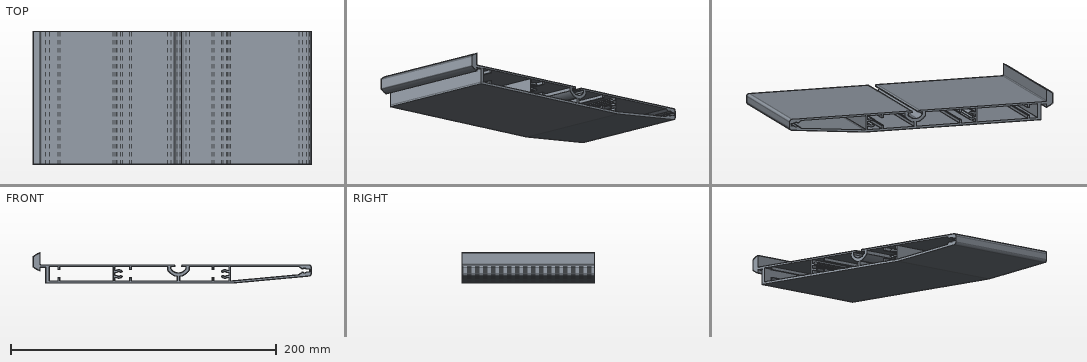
import cadquery as cq
import math

LENGTH = 100.0
WIDTH = 209.3
OVERALL_HEIGHT = 22.9
PICK_REACH = 0.05

DECK_TOP = 13.8
DECK_THICKNESS = 1.4
FLOOR_THICKNESS = 1.8
END_WALL_LEFT = 9.4
END_WALL_THICKNESS = 2.7
CEILING = DECK_TOP - DECK_THICKNESS
END_WALL_INNER = END_WALL_LEFT + END_WALL_THICKNESS
FOOT_FLARE = 0.03
FOOT_HEIGHT = 1.3

TAPER_START = 150.0
TAPER_SLOPE = 1 / 10.9
NOSE_TOP_RADIUS = 2.0
NOSE_BOTTOM_RADIUS = 2.0
NOSE_BOTTOM = (WIDTH - TAPER_START) * TAPER_SLOPE

LIP_THICKNESS = 5.15
LIP_HEIGHT = 13.65
LIP_RISE = 2.95
LIP_TURN = math.radians(20)
LIP_EDGE_RADIUS = 0.5
LIP_ROOT_RADIUS = 0.6
ARM_UNDERSIDE = 11.8
LIP_BOTTOM = OVERALL_HEIGHT - LIP_HEIGHT

SYMMETRY_X = 104.35
WEB_OFFSET = 43.5
WEB_THICKNESS = 1.3
NIB_WIDTH = 1.4
NIB_HEIGHT = 2.3
END_NIB_X = 19.35
NIB_OFFSET = 31.0
NIB_CENTRES = (END_NIB_X, SYMMETRY_X - NIB_OFFSET, SYMMETRY_X + NIB_OFFSET)
PORT_BORE_RADIUS = 1.75
PORT_OUTER_RADIUS = 3.25
PORT_NECK_HALF_GAP = 1.05
PORT_NECK_HALF_HEIGHT = 2.7
PORT_MOUTH_ANGLE = math.radians(35)
PORT_OFFSET = 39.9
PORT_Z = 6.92

NOSE_PORT_X = 204.2
NOSE_PORT_Z = 9.5
NOSE_PORT_HALF_GAP = 1.0
NOSE_PORT_END = 208.0
THROAT_LENGTH = 2.8

GROOVE_X = 109.3
SLOT_WIDTH = 4.9
SLOT_LIP_RADIUS = 1.1
STEM_WIDTH = 2.0
GROOVE_HALF_WIDTH = 5.6
GROOVE_BOTTOM = 7.8
GROOVE_SIDE_BOTTOM = 10.9
GROOVE_RADIUS = 6.0
GROOVE_WALL = 2.6
TROUGH_HALF_WIDTH = GROOVE_HALF_WIDTH + GROOVE_WALL
TROUGH_BOTTOM = GROOVE_BOTTOM - GROOVE_WALL
TROUGH_FLAT_HALF_WIDTH = 2.4
TROUGH_SIDE_BOTTOM = 9.8
TROUGH_RADIUS = 14.0


def section():
    return cq.Workplane("XZ")


def extrude(profile):
    """Extrude a closed section over the full length, toward +Y."""
    return profile.extrude(-LENGTH)


def bar(left, right, bottom, top):
    """Rectangular bar over the full length."""
    corners = [(left, bottom), (right, bottom), (right, top), (left, top)]
    return extrude(section().polyline(corners).close())


def edges_at(x, z):
    """Selector for the long edge through the section point (x, z)."""
    near = (x - PICK_REACH, 0, z - PICK_REACH)
    far = (x + PICK_REACH, LENGTH, z + PICK_REACH)
    return cq.selectors.BoxSelector(near, far)


def taper_height(x):
    """Height of the sloping underside at x."""
    return (x - TAPER_START) * TAPER_SLOPE


def body():
    """Solid outline of the body, with a slightly flared foot on its end wall."""
    solid = extrude(
        section()
        .moveTo(END_WALL_LEFT - FOOT_FLARE, 0)
        .lineTo(TAPER_START, 0)
        .lineTo(WIDTH, NOSE_BOTTOM)
        .lineTo(WIDTH, DECK_TOP)
        .lineTo(LIP_THICKNESS / 2, DECK_TOP)
        .lineTo(LIP_THICKNESS / 2, ARM_UNDERSIDE)
        .lineTo(END_WALL_LEFT, ARM_UNDERSIDE)
        .lineTo(END_WALL_LEFT, FOOT_HEIGHT)
        .close()
    )
    solid = solid.edges(edges_at(WIDTH, DECK_TOP)).fillet(NOSE_TOP_RADIUS)
    return solid.edges(edges_at(WIDTH, NOSE_BOTTOM)).fillet(NOSE_BOTTOM_RADIUS)


def lip():
    """Upright lip whose two ends are shallow arcs rising to points on its inner face."""
    top_corner = OVERALL_HEIGHT - LIP_RISE
    bottom_corner = LIP_BOTTOM + LIP_RISE
    chord = math.hypot(LIP_THICKNESS, LIP_RISE)
    bulge = chord / 2 * math.tan(LIP_TURN / 4)
    middle_x = LIP_THICKNESS / 2 - bulge * LIP_RISE / chord
    middle_rise = LIP_RISE / 2 + bulge * LIP_THICKNESS / chord
    solid = extrude(
        section()
        .moveTo(0, bottom_corner)
        .lineTo(0, top_corner)
        .threePointArc((middle_x, top_corner + middle_rise), (LIP_THICKNESS, OVERALL_HEIGHT))
        .lineTo(LIP_THICKNESS, LIP_BOTTOM)
        .threePointArc((middle_x, bottom_corner - middle_rise), (0, bottom_corner))
        .close()
    )
    for corner in (top_corner, bottom_corner):
        solid = solid.edges(edges_at(0, corner)).fillet(LIP_EDGE_RADIUS)
    return solid


def cavity():
    """Hollow of the body, narrowing at its right end into the nose port's throat."""
    throat_x = NOSE_PORT_X - math.sqrt(PORT_BORE_RADIUS**2 - NOSE_PORT_HALF_GAP**2)
    mouth_x = throat_x - THROAT_LENGTH
    return extrude(
        section()
        .moveTo(END_WALL_INNER, FLOOR_THICKNESS)
        .lineTo(TAPER_START, FLOOR_THICKNESS)
        .lineTo(mouth_x, FLOOR_THICKNESS + taper_height(mouth_x))
        .lineTo(throat_x, NOSE_PORT_Z - NOSE_PORT_HALF_GAP)
        .lineTo(throat_x, NOSE_PORT_Z + NOSE_PORT_HALF_GAP)
        .lineTo(mouth_x, CEILING)
        .lineTo(END_WALL_INNER, CEILING)
        .close()
    )


def nose_port():
    """Void of the nose screw port: a round bore running on into a blind slot."""
    bore = extrude(section().center(NOSE_PORT_X, NOSE_PORT_Z).circle(PORT_BORE_RADIUS))
    slot_bottom = NOSE_PORT_Z - NOSE_PORT_HALF_GAP
    slot_top = NOSE_PORT_Z + NOSE_PORT_HALF_GAP
    return bore.union(bar(NOSE_PORT_X, NOSE_PORT_END, slot_bottom, slot_top))


def nibs(centre):
    """Facing pair of nibs, one on the floor and one under the deck."""
    left = centre - NIB_WIDTH / 2
    right = centre + NIB_WIDTH / 2
    lower = bar(left, right, FLOOR_THICKNESS / 2, FLOOR_THICKNESS + NIB_HEIGHT)
    upper = bar(left, right, CEILING - NIB_HEIGHT, CEILING + DECK_THICKNESS / 2)
    return lower.union(upper)


def web(side):
    """Upright wall joining floor and deck."""
    centre = SYMMETRY_X + side * WEB_OFFSET
    half = WEB_THICKNESS / 2
    return bar(centre - half, centre + half, FLOOR_THICKNESS / 2, CEILING + DECK_THICKNESS / 2)


def port_arm(side, up):
    """One of the two curved arms of a screw port; the port opens toward the symmetry line."""
    port_x = SYMMETRY_X + side * PORT_OFFSET
    web_x = SYMMETRY_X + side * WEB_OFFSET
    inner_run = math.sqrt(PORT_BORE_RADIUS**2 - PORT_NECK_HALF_GAP**2)
    outer_run = math.sqrt(PORT_OUTER_RADIUS**2 - PORT_NECK_HALF_HEIGHT**2)

    def at(toward_web, rise):
        return port_x + side * toward_web, PORT_Z + up * rise

    def mouth(radius):
        return at(-radius * math.cos(PORT_MOUTH_ANGLE), radius * math.sin(PORT_MOUTH_ANGLE))

    return extrude(
        section()
        .moveTo(web_x, PORT_Z + up * PORT_NECK_HALF_GAP)
        .lineTo(*at(inner_run, PORT_NECK_HALF_GAP))
        .threePointArc(at(0, PORT_BORE_RADIUS), mouth(PORT_BORE_RADIUS))
        .lineTo(*mouth(PORT_OUTER_RADIUS))
        .threePointArc(at(0, PORT_OUTER_RADIUS), at(outer_run, PORT_NECK_HALF_HEIGHT))
        .lineTo(web_x, PORT_Z + up * PORT_NECK_HALF_HEIGHT)
        .close()
    )


def trough(half_width, top, side_bottom, radius, flat_half_width, bottom):
    """Upright-sided trough whose sides curve in to a flat bottom."""
    return extrude(
        section()
        .moveTo(GROOVE_X - half_width, top)
        .lineTo(GROOVE_X - half_width, side_bottom)
        .radiusArc((GROOVE_X - flat_half_width, bottom), -radius)
        .lineTo(GROOVE_X + flat_half_width, bottom)
        .radiusArc((GROOVE_X + half_width, side_bottom), -radius)
        .lineTo(GROOVE_X + half_width, top)
        .close()
    )


def groove_wall():
    """Solid trough on its stem; the groove itself is cut afterwards."""
    outside = trough(
        TROUGH_HALF_WIDTH,
        CEILING + DECK_THICKNESS / 2,
        TROUGH_SIDE_BOTTOM,
        TROUGH_RADIUS,
        TROUGH_FLAT_HALF_WIDTH,
        TROUGH_BOTTOM,
    )
    half_stem = STEM_WIDTH / 2
    stem_top = (GROOVE_BOTTOM + TROUGH_BOTTOM) / 2
    return outside.union(bar(GROOVE_X - half_stem, GROOVE_X + half_stem, FLOOR_THICKNESS / 2, stem_top))


def groove():
    return trough(
        GROOVE_HALF_WIDTH, CEILING, GROOVE_SIDE_BOTTOM, GROOVE_RADIUS, STEM_WIDTH / 2, GROOVE_BOTTOM
    )


def open_slot(part):
    """Cut the slot through the deck into the groove and round its upper edges."""
    left = GROOVE_X - SLOT_WIDTH / 2
    right = GROOVE_X + SLOT_WIDTH / 2
    part = part.cut(bar(left, right, CEILING, DECK_TOP))
    for slot_edge in (left, right):
        part = part.edges(edges_at(slot_edge, DECK_TOP)).fillet(SLOT_LIP_RADIUS)
    return part


part = body().union(lip())
part = part.edges(edges_at(LIP_THICKNESS, DECK_TOP)).fillet(LIP_ROOT_RADIUS)
part = part.cut(cavity()).cut(nose_port())

for nib_centre in NIB_CENTRES:
    part = part.union(nibs(nib_centre))

for side in (-1, 1):
    part = part.union(web(side))
    for up in (-1, 1):
        part = part.union(port_arm(side, up))

part = part.union(groove_wall()).cut(groove())
result = open_slot(part).clean()